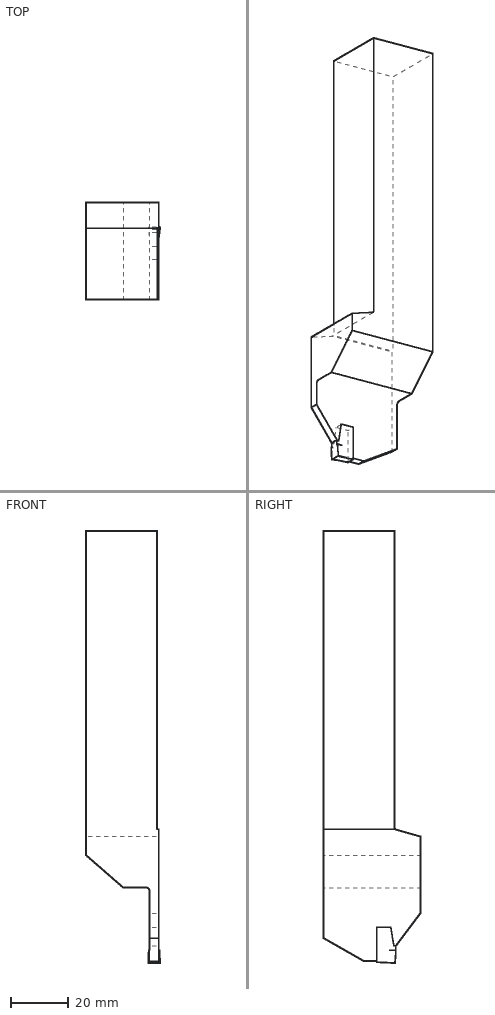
import cadquery as cq
import math

TOTAL_LENGTH = 151.4
SHANK_SIZE = 25.0
HEAD_DEPTH = 34.0
HEAD_TOP = 46.9
HEAD_SLOPE_DROP = 2.5
HEAD_CORNER_RADIUS = 0.8

BLADE_THICKNESS = 3.3
BLADE_RIGHT = 25.6
BLADE_LEFT = BLADE_RIGHT - BLADE_THICKNESS
BLADE_MIDDLE = BLADE_RIGHT - BLADE_THICKNESS / 2
BLADE_TOP = 26.5
BLADE_BOTTOM = 0.8
BLADE_ROOT_RADIUS = 1.2
BLADE_FRONT_Z = 8.8
BLADE_FLAT_Y = 14.0
BLADE_BACK_Z = 17.5

FLANK_TOP = 37.8
FLANK_END_X = 13.0

SEAT_FRONT_Y = 18.6
SEAT_BACK_Y = 23.6
SEAT_TOP = 12.5
CLAMP_Y = 24.7
CLAMP_Z = 6.0
RAKE_Y = 25.5
EDGE_Y = 25.1
RAKE_BEND_Z = 3.8
INSERT_HEEL_Z = 0.3

TIP_WIDTH = 4.2
TIP_TOP = 4.5
FLARE_TOP_Y = 23.3
FLARE_BOTTOM_Y = 21.5


def extrude_side(points, left, right):
    """Extrude a (Y, Z) outline from X = left to X = right."""
    return cq.Workplane("YZ", origin=(left, 0, 0)).polyline(points).close().extrude(right - left)


def make_holder():
    side_outline = [
        (0, TOTAL_LENGTH),
        (SHANK_SIZE, TOTAL_LENGTH),
        (SHANK_SIZE, HEAD_TOP),
        (HEAD_DEPTH, HEAD_TOP - HEAD_SLOPE_DROP),
        (HEAD_DEPTH, BLADE_BACK_Z),
        (RAKE_Y, CLAMP_Z),
        (CLAMP_Y, CLAMP_Z),
        (SEAT_BACK_Y, SEAT_TOP),
        (SEAT_FRONT_Y, SEAT_TOP),
        (SEAT_FRONT_Y, BLADE_BOTTOM),
        (BLADE_FLAT_Y, BLADE_BOTTOM),
        (0, BLADE_FRONT_Z),
    ]
    side_body = extrude_side(side_outline, 0, BLADE_RIGHT)

    inner_corner = cq.selectors.NearestToPointSelector((BLADE_RIGHT / 2, SHANK_SIZE, HEAD_TOP))
    side_body = side_body.edges(inner_corner).fillet(HEAD_CORNER_RADIUS)

    root_middle = BLADE_ROOT_RADIUS * (1 - math.sqrt(0.5))
    front_body = (
        cq.Workplane("XZ")
        .moveTo(0, TOTAL_LENGTH)
        .lineTo(SHANK_SIZE, TOTAL_LENGTH)
        .lineTo(SHANK_SIZE, HEAD_TOP)
        .lineTo(BLADE_RIGHT, HEAD_TOP)
        .lineTo(BLADE_RIGHT, 0)
        .lineTo(BLADE_LEFT, 0)
        .lineTo(BLADE_LEFT, BLADE_TOP - BLADE_ROOT_RADIUS)
        .threePointArc(
            (BLADE_LEFT - root_middle, BLADE_TOP - root_middle),
            (BLADE_LEFT - BLADE_ROOT_RADIUS, BLADE_TOP),
        )
        .lineTo(FLANK_END_X, BLADE_TOP)
        .lineTo(0, FLANK_TOP)
        .close()
        .extrude(-HEAD_DEPTH)
    )
    return side_body.intersect(front_body)


def make_tip():
    tip_outline = [
        (FLARE_TOP_Y, TIP_TOP),
        (RAKE_Y, TIP_TOP),
        (RAKE_Y, RAKE_BEND_Z),
        (EDGE_Y, 0),
        (FLARE_BOTTOM_Y, INSERT_HEEL_Z),
    ]
    half_width = TIP_WIDTH / 2
    block = extrude_side(tip_outline, BLADE_MIDDLE - half_width, BLADE_MIDDLE + half_width)

    flare_run = FLARE_TOP_Y - FLARE_BOTTOM_Y
    line_length = math.hypot(flare_run, TIP_TOP)
    flare_reach = (EDGE_Y - FLARE_BOTTOM_Y) * TIP_TOP / line_length
    section_plane = cq.Plane(
        origin=(BLADE_MIDDLE, FLARE_BOTTOM_Y, 0),
        xDir=(1, 0, 0),
        normal=(0, flare_run, TIP_TOP),
    )
    flare = (
        cq.Workplane(section_plane)
        .polyline([
            (-BLADE_THICKNESS / 2, 0),
            (BLADE_THICKNESS / 2, 0),
            (half_width, flare_reach),
            (-half_width, flare_reach),
        ])
        .close()
        .extrude(2 * line_length, both=True)
    )
    return block.intersect(flare)


def make_insert():
    body_outline = [
        (SEAT_FRONT_Y, SEAT_TOP),
        (SEAT_BACK_Y, SEAT_TOP),
        (CLAMP_Y, CLAMP_Z),
        (RAKE_Y, CLAMP_Z),
        (RAKE_Y, RAKE_BEND_Z),
        (EDGE_Y, 0),
        (SEAT_FRONT_Y, INSERT_HEEL_Z),
    ]
    body = extrude_side(body_outline, BLADE_LEFT, BLADE_RIGHT)
    return body.union(make_tip())


holder = make_holder()
insert = make_insert()

result = cq.Compound.makeCompound([holder.solids().val(), insert.solids().val()])